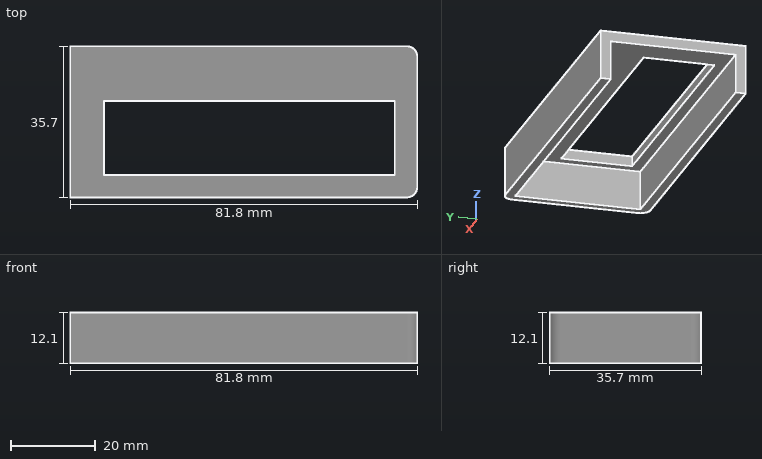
import cadquery as cq

length = 81.85
width = 35.7
height = 12.05

wall = 2.5
corner_radius = wall

window_rim = 5.35
window_open_end_margin = 8.0
window_length = length - window_open_end_margin - window_rim
window_width = 17.4


def block(size_x, size_y, size_z, x, y, z):
    """Box with its minimum corner at (x, y, z)."""
    return cq.Workplane("XY").box(size_x, size_y, size_z, centered=False).translate((x, y, z))


def outer_body():
    """Solid block with its two +X vertical corners rounded."""
    return block(length, width, height, 0, 0, 0).edges("|Z and >X").fillet(corner_radius)


def cavity():
    """Space under the top plate, between the side walls and the +X end wall."""
    return block(length - wall, width - 2 * wall, height - wall, 0, wall, 0)


def window():
    """Rectangular opening through the top plate."""
    return block(window_length, window_width, height, window_open_end_margin, window_rim, 0)


result = outer_body().cut(cavity()).cut(window())